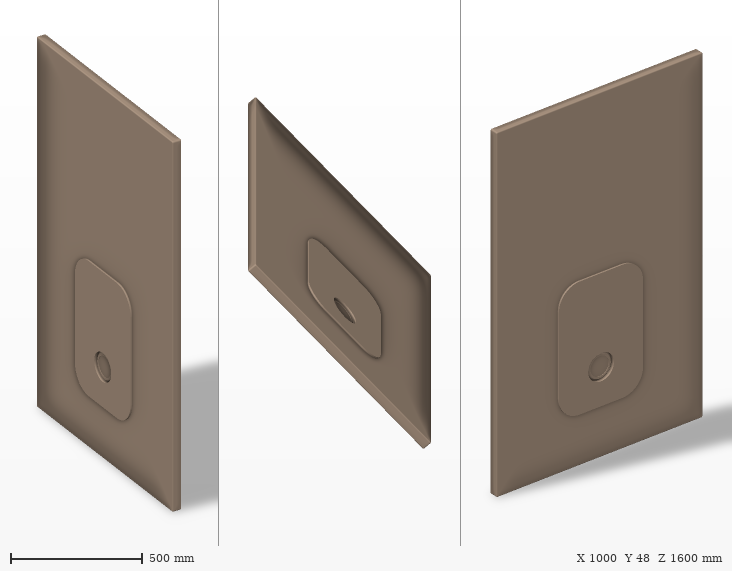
import cadquery as cq

WIDTH = 1000.0
HEIGHT = 1600
DEPTH = 48

PANEL_CORNER_RADIUS = 6.0
PANEL_EDGE_RADIUS = 5.0

PLATE_WIDTH = 408.0
PLATE_HEIGHT = 584.0
PLATE_THICKNESS = 8.0
PLATE_CORNER_RADIUS = 100.0
PLATE_CENTRE_Z = -280.0

DRAIN_CENTRE_Z = -400
DRAIN_RADIUS = 62.0
RECESS_DEPTH = 7.2

DISH_RADIUS = 45.0
DISH_DEPTH = 2.4
RIM_WIDTH = 8.8
COVER_FRONT_RADIUS = DISH_RADIUS + RIM_WIDTH

BACK_Y = DEPTH / 2
PLATE_FRONT_Y = -DEPTH / 2
PANEL_FRONT_Y = PLATE_FRONT_Y + PLATE_THICKNESS
RECESS_FLOOR_Y = PANEL_FRONT_Y + RECESS_DEPTH


def facing_front(y, z=0):
    """Workplane at depth y, centred at height z, whose normal points to the front (-Y)."""
    return cq.Workplane("XZ", origin=(0, y, z))


def make_drain_opening():
    """Cylinder from the front of the plate to the floor of the recess in the panel."""
    opening_length = RECESS_FLOOR_Y - PLATE_FRONT_Y
    return facing_front(RECESS_FLOOR_Y, DRAIN_CENTRE_Z).circle(DRAIN_RADIUS).extrude(opening_length)


def make_panel():
    slab = facing_front(BACK_Y).rect(WIDTH, HEIGHT).extrude(BACK_Y - PANEL_FRONT_Y)
    slab = slab.edges("|Y").fillet(PANEL_CORNER_RADIUS)
    slab = slab.faces("<Y or >Y").edges().fillet(PANEL_EDGE_RADIUS)
    return slab.cut(make_drain_opening())


def make_plate():
    outline = facing_front(PANEL_FRONT_Y, PLATE_CENTRE_Z).rect(PLATE_WIDTH, PLATE_HEIGHT)
    plate = outline.extrude(PLATE_THICKNESS)
    plate = plate.edges("|Y").fillet(PLATE_CORNER_RADIUS)
    return plate.cut(make_drain_opening())


def make_drain_cover():
    cone = (
        facing_front(RECESS_FLOOR_Y, DRAIN_CENTRE_Z)
        .circle(DRAIN_RADIUS)
        .workplane(offset=RECESS_DEPTH)
        .circle(COVER_FRONT_RADIUS)
        .loft()
    )
    dish = facing_front(PANEL_FRONT_Y, DRAIN_CENTRE_Z).circle(DISH_RADIUS).extrude(-DISH_DEPTH)
    return cone.cut(dish)


panel = make_panel()
plate = make_plate()
drain_cover = make_drain_cover()

result = cq.Compound.makeCompound([panel.val(), plate.val(), drain_cover.val()])